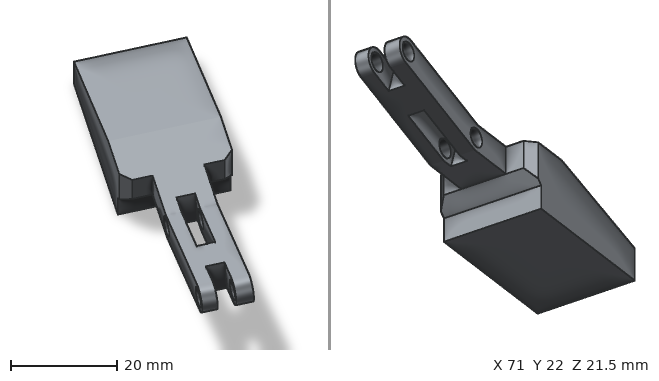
import cadquery as cq
import math

block_width = 22.0
nose_height = 7.0
top_height = 14.05
ramp_length = 24.85
base_length = 31.9
shoulder_length = 34.85
corner_chamfer = 2.0

overall_length = 71.0
overall_height = 21.5
arm_width = 10.1
arm_thickness = 5.95
arm_radius = arm_thickness / 2
pin_diameter = 4.0
pivot_x = 44.95
pivot_z = top_height - arm_radius
tip_x = overall_length - arm_radius
tip_z = overall_height - arm_radius
link_length = math.hypot(tip_x - pivot_x, tip_z - pivot_z)
link_angle = math.degrees(math.atan2(tip_z - pivot_z, tip_x - pivot_x))

slot_width = 3.6
slot_center_y = -0.2
middle_slot_start = -2.85
middle_slot_end = 12.2
fork_slot_start = 19.2
slot_depth = 3 * arm_thickness


def side_plane(half_width):
    """XZ plane on the +Y side, so that extruding runs towards -Y."""
    return cq.Workplane("XZ", origin=(0, half_width, 0))


def make_block():
    arm_bottom = top_height - arm_thickness
    undercut_bottom = arm_bottom - (shoulder_length - base_length)
    block = (
        side_plane(block_width / 2)
        .polyline([
            (0, 0),
            (base_length, 0),
            (base_length, undercut_bottom),
            (shoulder_length, arm_bottom),
            (shoulder_length, top_height),
            (ramp_length, top_height),
            (0, nose_height),
        ])
        .close()
        .extrude(block_width)
    )
    return block.edges("|Z and >X").chamfer(corner_chamfer)


def make_arm():
    slope = math.radians(link_angle)
    bend_shift = arm_radius * math.tan(slope / 2)
    edge_dx = arm_radius * math.sin(slope)
    edge_dz = arm_radius * math.cos(slope)
    return (
        side_plane(arm_width / 2)
        .moveTo(ramp_length, pivot_z - arm_radius)
        .lineTo(pivot_x + bend_shift, pivot_z - arm_radius)
        .lineTo(tip_x + edge_dx, tip_z - edge_dz)
        .threePointArc(
            (tip_x + edge_dz, tip_z + edge_dx),
            (tip_x - edge_dx, tip_z + edge_dz),
        )
        .lineTo(pivot_x - bend_shift, top_height)
        .lineTo(ramp_length, top_height)
        .close()
        .extrude(arm_width)
    )


def make_slot(start, end):
    """Slot cutter square to the inclined link, between two distances from the pivot."""
    return (
        cq.Workplane("XY")
        .box(end - start, slot_width, slot_depth)
        .translate(((start + end) / 2, slot_center_y, 0))
        .rotate((0, 0, 0), (0, 1, 0), -link_angle)
        .translate((pivot_x, 0, pivot_z))
    )


def make_pin_holes():
    return (
        side_plane(arm_width / 2)
        .pushPoints([(pivot_x, pivot_z), (tip_x, tip_z)])
        .circle(pin_diameter / 2)
        .extrude(arm_width)
    )


result = make_block().union(make_arm())
result = result.cut(make_slot(middle_slot_start, middle_slot_end))
result = result.cut(make_slot(fork_slot_start, link_length + arm_thickness))
result = result.cut(make_pin_holes())